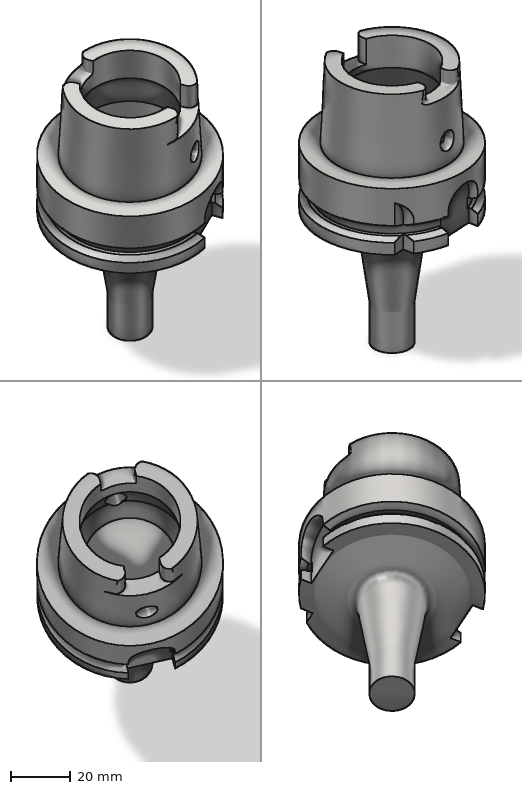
import cadquery as cq
import math

overall_height = 109.9
stem_top = 16.2
neck_top = 48.1
flange_bottom = 52.2
lower_bevel_bottom = 56.9
groove_bottom = 58.1
groove_top = 62.1
upper_bevel_top = 63.5
collar_top = 78.0

stem_diameter = 15.4
neck_diameter = 24.3
flange_cone_diameter = 52.8
collar_diameter = 63.0
groove_rim_diameter = 57.8
groove_diameter = 55.0
taper_base_diameter = 48.6
taper_top_diameter = 45.6
neck_fillet = 5.0

bore_diameter = 34.1
bore_depth = 12.6
chamber_diameter = 40.1
chamber_shoulder_height = 1.8
chamber_floor_diameter = 31.4
chamber_bottom = 84.1
cavity_floor = chamber_bottom - (chamber_diameter - chamber_floor_diameter) / 2
cross_hole_diameter = 7.5
cross_hole_height = 87.0

drive_slot_width = 12.4
drive_slot_corner = 3.1
tang_end = 20.8
tangent_run = 11.0
shallow_slot_depth = 5.9
deep_slot_depth = 10.0
shallow_slot_fillet = 1.3
edge_margin = 1.1
cut_reach = 35.2

flange_slot_width = 16.3
flange_slot_top = 73.2
flange_slot_floor = 26.5
side_slot_floor = 20.0
side_slot_near_wall = 19.7


def revolve_profile(points):
    """Revolve (radius, height) points about the Z axis."""
    return cq.Workplane("XZ").polyline(points).close().revolve(360, (0, 0, 0), (0, 1, 0))


def make_body():
    body = revolve_profile([
        (0, 0),
        (stem_diameter / 2, 0),
        (stem_diameter / 2, stem_top),
        (neck_diameter / 2, neck_top),
        (flange_cone_diameter / 2, flange_bottom),
        (collar_diameter / 2, flange_bottom),
        (collar_diameter / 2, lower_bevel_bottom),
        (groove_rim_diameter / 2, groove_bottom),
        (groove_diameter / 2, groove_bottom),
        (groove_diameter / 2, groove_top),
        (groove_rim_diameter / 2, groove_top),
        (collar_diameter / 2, upper_bevel_top),
        (collar_diameter / 2, collar_top),
        (taper_base_diameter / 2, collar_top),
        (taper_top_diameter / 2, overall_height),
        (0, overall_height),
    ])
    neck_edge = cq.selectors.BoxSelector(
        (-neck_diameter, -neck_diameter, neck_top - edge_margin),
        (neck_diameter, neck_diameter, neck_top + edge_margin),
    )
    return body.edges("%CIRCLE").edges(neck_edge).fillet(neck_fillet)


def make_cavity():
    """Bore that widens into a chamber and narrows again to a flat floor."""
    bore_bottom = overall_height - bore_depth
    return revolve_profile([
        (0, cavity_floor),
        (chamber_floor_diameter / 2, cavity_floor),
        (chamber_diameter / 2, chamber_bottom),
        (chamber_diameter / 2, bore_bottom - chamber_shoulder_height),
        (bore_diameter / 2, bore_bottom),
        (bore_diameter / 2, overall_height),
        (0, overall_height),
    ])


def make_drive_slot(depth):
    """Slot on the +X side, rounding the tang corners where it opens outwards.

    Each corner arc runs on until it is square to the radius through its center,
    then leaves along its tangent.
    """
    half_width = drive_slot_width / 2
    center_x = tang_end - drive_slot_corner
    center_y = half_width + drive_slot_corner
    exit_angle = math.atan2(center_y, center_x)
    exit_x = center_x + drive_slot_corner * math.cos(exit_angle)
    exit_y = center_y + drive_slot_corner * math.sin(exit_angle)
    end_x = exit_x - tangent_run * math.sin(exit_angle)
    end_y = exit_y + tangent_run * math.cos(exit_angle)
    return (
        cq.Workplane("XY", origin=(0, 0, overall_height - depth))
        .moveTo(0, -half_width)
        .lineTo(center_x, -half_width)
        .radiusArc((exit_x, -exit_y), drive_slot_corner)
        .lineTo(end_x, -end_y)
        .lineTo(cut_reach, -end_y)
        .lineTo(cut_reach, end_y)
        .lineTo(end_x, end_y)
        .lineTo(exit_x, exit_y)
        .radiusArc((center_x, half_width), drive_slot_corner)
        .lineTo(0, half_width)
        .close()
        .extrude(depth + edge_margin)
    )


def make_flange_slot(floor, center_y):
    """Round-topped slot on the -X side, open at the bottom of the flange."""
    half_width = flange_slot_width / 2
    arc_center = flange_slot_top - half_width
    return (
        cq.Workplane("YZ", origin=(-cut_reach, 0, 0))
        .moveTo(center_y - half_width, 0)
        .lineTo(center_y - half_width, arc_center)
        .threePointArc((center_y, flange_slot_top), (center_y + half_width, arc_center))
        .lineTo(center_y + half_width, 0)
        .close()
        .extrude(cut_reach - floor)
    )


def half_turn(shape):
    return shape.rotate((0, 0, 0), (0, 0, 1), 180)


cross_hole = (
    cq.Workplane("YZ", origin=(-cut_reach, 0, cross_hole_height))
    .circle(cross_hole_diameter / 2)
    .extrude(2 * cut_reach)
)
shallow_slot = make_drive_slot(shallow_slot_depth).edges("<Z").fillet(shallow_slot_fillet)
deep_slot = make_drive_slot(deep_slot_depth)
flange_slot = make_flange_slot(flange_slot_floor, 0)
side_slot = make_flange_slot(side_slot_floor, side_slot_near_wall + flange_slot_width / 2)

result = (
    make_body()
    .cut(make_cavity())
    .cut(cross_hole)
    .cut(half_turn(shallow_slot))
    .cut(deep_slot)
    .cut(flange_slot)
    .cut(half_turn(flange_slot))
    .cut(side_slot)
)